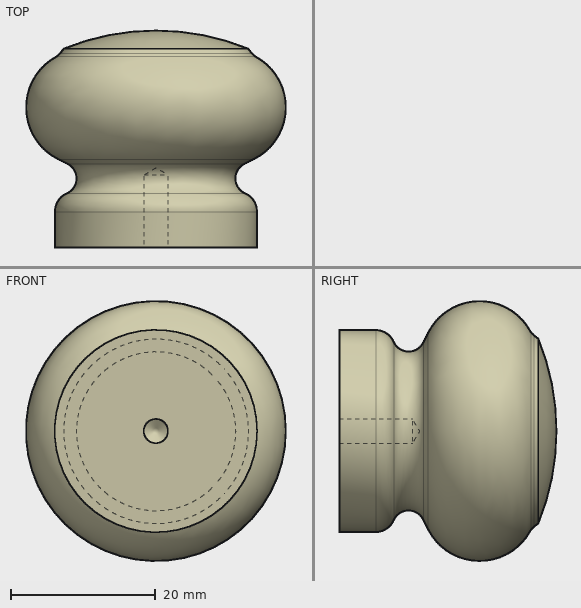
import cadquery as cq
import math

knob_radius = 17.97
knob_height = 30.0

base_radius = 13.98
base_straight = 5.0
base_round = 2.73

neck_radius = 11.0
neck_height = 9.55

bulb_round = 7.98
bulb_height = 19.37
bulb_top = 26.4

rim_radius = 13.25
rim_height = 26.85
dome_radius = 12.75
dome_base = 27.5

hole_radius = 1.67
hole_depth = 10.05
drill_tip_angle = 118.0


def on_circle(center, radius, angle):
    """Point on a profile circle at an angle in radians."""
    return (center[0] + radius * math.cos(angle), center[1] + radius * math.sin(angle))


def direction(start, end):
    """Angle in radians from one profile point to another."""
    return math.atan2(end[1] - start[1], end[0] - start[0])


base_center = (base_radius - base_round, base_straight)
rise = neck_height - base_straight
offset = neck_radius - base_center[0]
neck_round = (offset**2 + rise**2 - base_round**2) / (2 * (base_round - offset))
neck_center = (neck_radius + neck_round, neck_height)
bulb_center = (knob_radius - bulb_round, bulb_height)

base_to_neck = direction(base_center, neck_center)

center_gap = math.dist(neck_center, bulb_center)
tangent_swing = math.acos((neck_round + bulb_round) / center_gap)
cone_neck_angle = direction(neck_center, bulb_center) + tangent_swing
cone_bulb_angle = cone_neck_angle - math.pi
bulb_end_angle = math.asin((bulb_top - bulb_height) / bulb_round)


def make_body():
    profile = (
        cq.Workplane("XY")
        .lineTo(base_radius, 0)
        .lineTo(base_radius, base_straight)
        .threePointArc(
            on_circle(base_center, base_round, base_to_neck / 2),
            on_circle(base_center, base_round, base_to_neck),
        )
        .threePointArc(
            (neck_radius, neck_height),
            on_circle(neck_center, neck_round, cone_neck_angle),
        )
        .lineTo(*on_circle(bulb_center, bulb_round, cone_bulb_angle))
        .threePointArc(
            (knob_radius, bulb_height),
            on_circle(bulb_center, bulb_round, bulb_end_angle),
        )
        .lineTo(rim_radius, rim_height)
        .lineTo(dome_radius, dome_base)
    )
    cap_height = knob_height - dome_base
    sphere_radius = (dome_radius**2 + cap_height**2) / (2 * cap_height)
    sphere_center = (0, knob_height - sphere_radius)
    edge_angle = direction(sphere_center, (dome_radius, dome_base))
    middle_angle = (edge_angle + math.pi / 2) / 2
    profile = profile.threePointArc(
        on_circle(sphere_center, sphere_radius, middle_angle), (0, knob_height)
    )
    return profile.close().revolve(360, (0, 0), (0, 1))


def make_screw_hole():
    """Blind drilled hole with a conical end."""
    tip_height = hole_radius / math.tan(math.radians(drill_tip_angle / 2))
    outline = (
        cq.Workplane("XY")
        .lineTo(hole_radius, 0)
        .lineTo(hole_radius, hole_depth)
        .lineTo(0, hole_depth + tip_height)
        .close()
    )
    return outline.revolve(360, (0, 0), (0, 1))


result = make_body().cut(make_screw_hole())